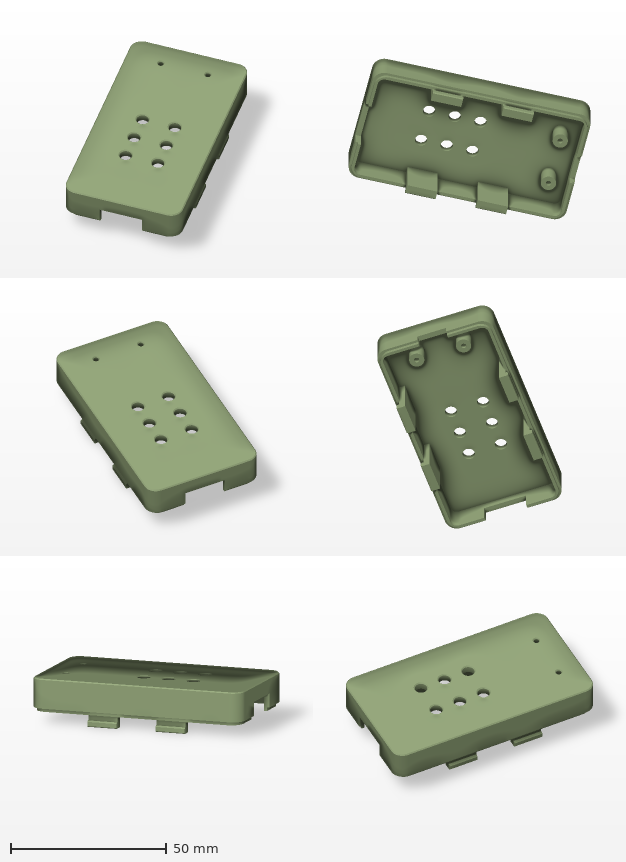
import cadquery as cq

WIDTH = 39.55
LENGTH = 72.2
HEIGHT = 14.9

CORNER_RADIUS = 4.0
WALL = 1.8
TOP_THICKNESS = 2.5
SHELL_BOTTOM = 5.05
EDGE_CHAMFER = 0.35
CEILING = HEIGHT - TOP_THICKNESS

LIP_INSET = 0.8
LIP_BOTTOM = 3.9

FRONT_OPENING_WIDTH = 14.4
FRONT_OPENING_TOP = 9.7
BACK_OPENING_WIDTH = 9.75
BACK_OPENING_TOP = 7.15

BUTTON_DIAMETER = 4.0
BUTTON_X = 5.5
BUTTON_PITCH_Y = 8.5
BUTTON_CENTER_Y = -6.2
HOLE_CHAMFER = 0.35

SCREW_DIAMETER = 1.7
SCREW_X = 8.0
SCREW_Y = 28.15
POST_DIAMETER = 4.9
POST_BOTTOM = 6.4

CLIP_LENGTH = 10.0
CLIP_Y = 11.7
CLIP_OUTER_X = WIDTH / 2 - 1.6
CLIP_INNER_X = WIDTH / 2 - 3.75
HOOK_TIP_X = WIDTH / 2 - 0.7
HOOK_HEIGHT = 2.1
HOOK_TOP_CHAMFER = 0.4
HOOK_BOTTOM_CHAMFER = 0.3


def rounded_block(inset, radius, bottom, top):
    """Vertical prism with rounded corners, its sides moved inward from the cover by inset."""
    return (
        cq.Workplane("XY", origin=(0, 0, bottom))
        .rect(WIDTH - 2 * inset, LENGTH - 2 * inset)
        .extrude(top - bottom)
        .edges("|Z")
        .fillet(radius)
    )


def make_cover():
    """Hollow cover, open at the bottom, with its lip."""
    shell = rounded_block(0, CORNER_RADIUS, SHELL_BOTTOM, HEIGHT)
    shell = shell.faces(">Z").edges().chamfer(EDGE_CHAMFER)
    lip = rounded_block(LIP_INSET, CORNER_RADIUS, LIP_BOTTOM, CEILING)
    cavity = rounded_block(WALL, CORNER_RADIUS - WALL, LIP_BOTTOM, CEILING)
    return shell.union(lip).cut(cavity)


def wall_opening(width, top, side):
    """Cutter through one end wall; side is -1 at the front and 1 at the back."""
    depth = 2 * WALL
    center = (0, side * LENGTH / 2, LIP_BOTTOM)
    return cq.Workplane("XY", origin=center).rect(width, depth).extrude(top - LIP_BOTTOM)


def chamfered_hole(diameter, x, y):
    """Through-hole cutter, widened by a chamfer at the top surface."""
    radius = diameter / 2
    rim_radius = radius + HOLE_CHAMFER
    profile = (
        cq.Workplane("XZ")
        .moveTo(0, 0)
        .lineTo(radius, 0)
        .lineTo(radius, HEIGHT - HOLE_CHAMFER)
        .lineTo(rim_radius, HEIGHT)
        .lineTo(0, HEIGHT)
        .close()
    )
    return profile.revolve(360, (0, 0, 0), (0, 1, 0)).translate((x, y, 0))


def make_clip(y):
    """Clip on the +X side: a stem rooted in the ceiling with an outward hook."""
    profile = [
        (CLIP_INNER_X, CEILING),
        (CLIP_INNER_X, 0),
        (HOOK_TIP_X - HOOK_BOTTOM_CHAMFER, 0),
        (HOOK_TIP_X, HOOK_BOTTOM_CHAMFER),
        (HOOK_TIP_X, HOOK_HEIGHT - HOOK_TOP_CHAMFER),
        (HOOK_TIP_X - HOOK_TOP_CHAMFER, HOOK_HEIGHT),
        (CLIP_OUTER_X, HOOK_HEIGHT),
        (CLIP_OUTER_X, CEILING),
    ]
    clip = cq.Workplane("XZ").polyline(profile).close().extrude(CLIP_LENGTH / 2, both=True)
    return clip.translate((0, y, 0))


result = make_cover()
result = result.cut(wall_opening(FRONT_OPENING_WIDTH, FRONT_OPENING_TOP, -1))
result = result.cut(wall_opening(BACK_OPENING_WIDTH, BACK_OPENING_TOP, 1))

for clip_y in (-CLIP_Y, CLIP_Y):
    clip = make_clip(clip_y)
    result = result.union(clip).union(clip.mirror("YZ"))

posts = (
    cq.Workplane("XY", origin=(0, 0, POST_BOTTOM))
    .pushPoints([(-SCREW_X, SCREW_Y), (SCREW_X, SCREW_Y)])
    .circle(POST_DIAMETER / 2)
    .extrude(CEILING - POST_BOTTOM)
)
result = result.union(posts)

for side in (-1, 1):
    result = result.cut(chamfered_hole(SCREW_DIAMETER, side * SCREW_X, SCREW_Y))
    for row in (-1, 0, 1):
        button_y = BUTTON_CENTER_Y + row * BUTTON_PITCH_Y
        result = result.cut(chamfered_hole(BUTTON_DIAMETER, side * BUTTON_X, button_y))